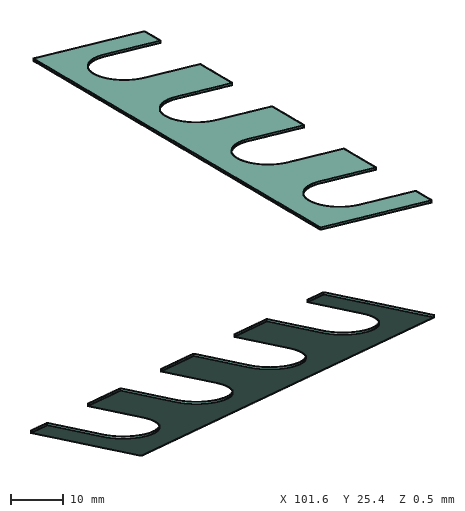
import cadquery as cq

length = 101.6
width = 25.4
thickness = 0.5
slot_count = 4
slot_pitch = length / slot_count
slot_width = 14.0
slot_floor = 5.6

slot_radius = slot_width / 2
arc_center_y = slot_floor + slot_radius


def slot_cutter(center_x):
    """Round-bottomed slot running from its arc out through the +Y edge."""
    left = center_x - slot_radius
    right = center_x + slot_radius
    return (
        cq.Workplane("XY")
        .moveTo(left, width)
        .lineTo(left, arc_center_y)
        .threePointArc((center_x, slot_floor), (right, arc_center_y))
        .lineTo(right, width)
        .close()
        .extrude(thickness)
    )


plate = cq.Workplane("XY").box(length, width, thickness, centered=False)
for index in range(slot_count):
    plate = plate.cut(slot_cutter((index + 0.5) * slot_pitch))

result = plate